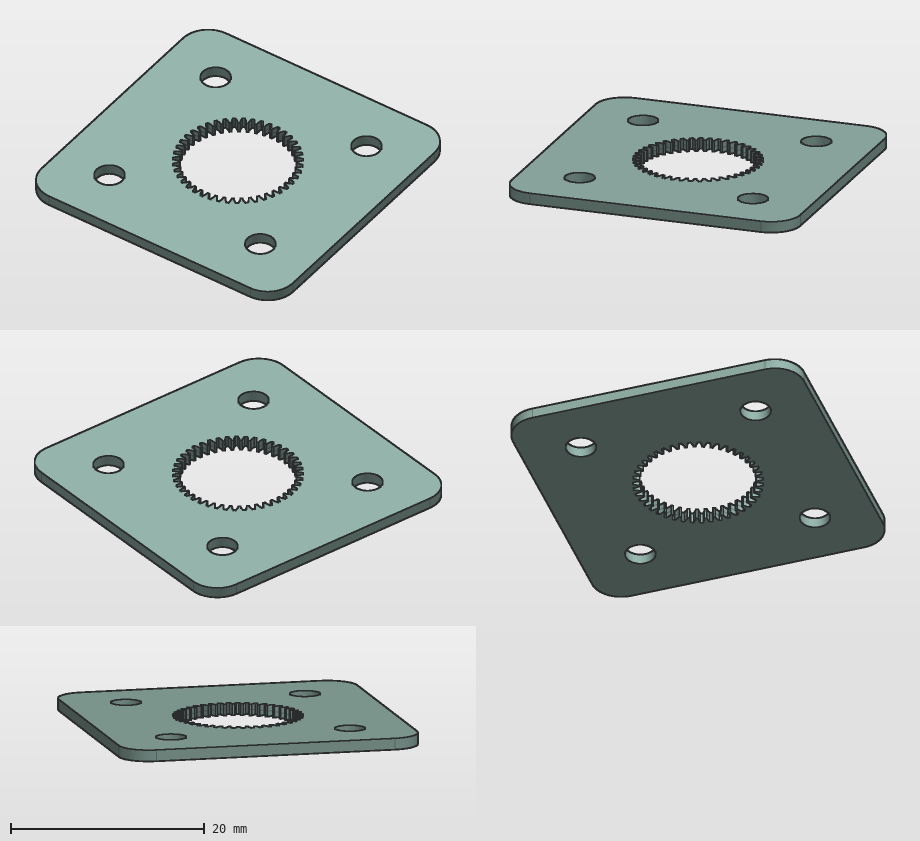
import cadquery as cq
import math

PLATE_SIDE = 31.75
PLATE_THICKNESS = 1.2
CORNER_RADIUS = 3.18

HOLE_SPACING = 19.05
HOLE_DIAMETER = 3.18

LOBE_COUNT = 43
PITCH_RADIUS = 12.92 / 2
LOBE_TIP_RADIUS = 13.5 / 2
LOBE_ROOT_RADIUS = 12.05 / 2
FLANK_CLEARANCE = 0.01
PRESSURE_ANGLE = math.radians(20)
FIRST_LOBE_ANGLE = math.radians(2.9)
FLANK_POINTS = 5

PITCH_ANGLE = 2 * math.pi / LOBE_COUNT
BASE_RADIUS = PITCH_RADIUS * math.cos(PRESSURE_ANGLE)


def involute(angle):
    """Involute function of a pressure angle."""
    return math.tan(angle) - angle


def lobe_half_angle(radius):
    """Half of the angle that a lobe spans at the given radius."""
    local_pressure_angle = math.acos(BASE_RADIUS / radius)
    half_angle_at_pitch = PITCH_ANGLE / 4 + FLANK_CLEARANCE / PITCH_RADIUS
    return half_angle_at_pitch + involute(PRESSURE_ANGLE) - involute(local_pressure_angle)


def polar(radius, angle):
    return (radius * math.cos(angle), radius * math.sin(angle))


def make_plate():
    plate = cq.Workplane("XY").box(PLATE_SIDE, PLATE_SIDE, PLATE_THICKNESS)
    return plate.edges("|Z").fillet(CORNER_RADIUS)


def cut_mounting_holes(plate):
    pattern = plate.faces(">Z").workplane().rect(HOLE_SPACING, HOLE_SPACING, forConstruction=True)
    return pattern.vertices().hole(HOLE_DIAMETER)


def make_gear_cutter():
    """Solid that fills the toothed opening, with one lobe and one root arc per pitch."""
    flank_step = (LOBE_TIP_RADIUS - BASE_RADIUS) / (FLANK_POINTS - 1)
    flank_radii = [BASE_RADIUS + i * flank_step for i in range(FLANK_POINTS - 1)] + [LOBE_TIP_RADIUS]
    root_half_angle = lobe_half_angle(BASE_RADIUS)

    outline = cq.Workplane("XY").moveTo(*polar(LOBE_ROOT_RADIUS, FIRST_LOBE_ANGLE - root_half_angle))
    for lobe in range(LOBE_COUNT):
        centre = FIRST_LOBE_ANGLE + lobe * PITCH_ANGLE
        rising = [polar(r, centre - lobe_half_angle(r)) for r in flank_radii]
        falling = [polar(r, centre + lobe_half_angle(r)) for r in reversed(flank_radii)]
        root_start = polar(LOBE_ROOT_RADIUS, centre + root_half_angle)
        root_middle = polar(LOBE_ROOT_RADIUS, centre + PITCH_ANGLE / 2)
        root_end = polar(LOBE_ROOT_RADIUS, centre + PITCH_ANGLE - root_half_angle)

        outline = outline.lineTo(*rising[0]).spline(rising[1:], includeCurrent=True)
        outline = outline.threePointArc(polar(LOBE_TIP_RADIUS, centre), falling[0])
        outline = outline.spline(falling[1:], includeCurrent=True).lineTo(*root_start)
        outline = outline.threePointArc(root_middle, root_end)
    return outline.close().extrude(PLATE_THICKNESS, both=True)


result = cut_mounting_holes(make_plate()).cut(make_gear_cutter())